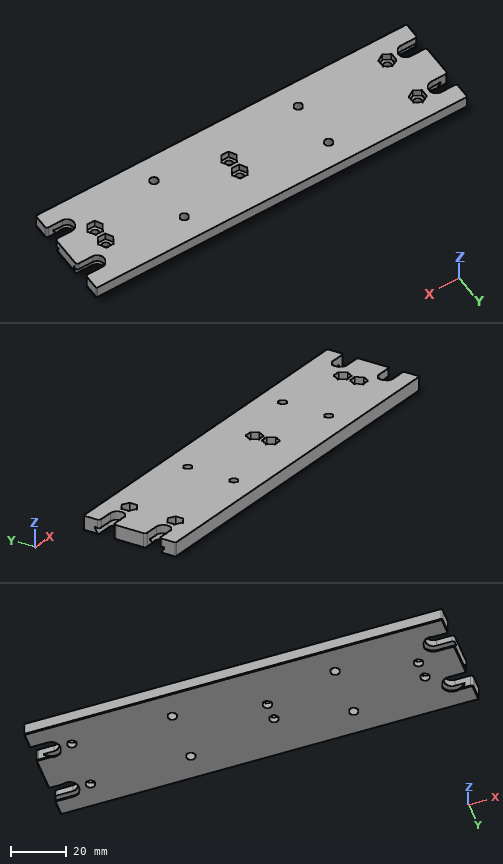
import cadquery as cq
import math

length = 160.8
width = 40.0
thickness = 6.0
corner_radius = 0.5
bottom_chamfer = 0.3

slot_width = 6.0
slot_depth = 10.0
slot_offset = 10.0
mouth_radius = 1.0
slot_radius = slot_width / 2
slot_end_x = length / 2 - slot_depth + slot_radius

undercut_radius = 5.0
undercut_bottom_radius = 3.5
undercut_rim_z = 2.3
undercut_top_z = 2.5

hole_diameter = 3.4
plain_hole_xs = (-26.9, 35.7)
wide_hole_y = slot_offset

nut_across_flats = 5.6
recess_depth = 3.2
end_recess_inset = 15.0
end_recess_x = length / 2 - end_recess_inset
middle_recess_x = 7.4
narrow_hole_y = 3.5


def make_plate():
    """Slotted plate with rounded upright corners and a chamfered bottom outline."""
    plate = (
        cq.Workplane("XY")
        .box(length, width, thickness, centered=(True, True, False))
        .edges("|Z")
        .fillet(corner_radius)
    )
    mouth_slots = (
        cq.Workplane("XY")
        .pushPoints([(sx * length / 2, sy * slot_offset) for sx in (-1, 1) for sy in (-1, 1)])
        .slot2D(2 * slot_depth, slot_width)
        .extrude(thickness)
    )
    plate = plate.cut(mouth_slots)
    mouth_reach = slot_offset + slot_width
    slot_mouths = cq.selectors.BoxSelector((-length, -mouth_reach, 0), (length, mouth_reach, thickness))
    plate = plate.faces("<X or >X").edges("|Z").edges(slot_mouths).fillet(mouth_radius)
    return plate.faces("<Z").edges().chamfer(bottom_chamfer)


def make_undercut(side_x, side_y):
    """Tapered round undercut at the slot end, running out to the plate end along one slot wall.

    The run-out follows the outer wall at the -X end and the inner wall at the +X end.
    """
    profile = [
        (0, 0),
        (undercut_bottom_radius, 0),
        (undercut_radius, undercut_rim_z),
        (undercut_radius, undercut_top_z),
        (0, undercut_top_z),
    ]
    round_end = cq.Workplane("XZ").polyline(profile).close().revolve(360, (0, 0, 0), (0, 1, 0))
    run_out_side = -side_x * side_y
    run_out = (
        cq.Workplane("YZ")
        .polyline([(run_out_side * y, z) for y, z in profile])
        .close()
        .extrude(side_x * slot_depth)
    )
    return round_end.union(run_out).translate((side_x * slot_end_x, side_y * slot_offset, 0))


def make_hole(x, y):
    """Round hole through the plate."""
    return cq.Workplane("XY").center(x, y).circle(hole_diameter / 2).extrude(thickness)


def make_recess(x, y, turn):
    """Hexagonal nut recess in the top face."""
    nut_across_corners = nut_across_flats / math.cos(math.pi / 6)
    nut = cq.Workplane("XY").polygon(6, nut_across_corners).extrude(recess_depth)
    return nut.rotate((0, 0, 0), (0, 0, 1), turn).translate((x, y, thickness - recess_depth))


recesses = (
    (-end_recess_x, wide_hole_y, 90),
    (middle_recess_x, narrow_hole_y, 0),
    (end_recess_x, narrow_hole_y, 0),
)

result = make_plate()
for side_y in (-1, 1):
    for side_x in (-1, 1):
        result = result.cut(make_undercut(side_x, side_y))

    for x in plain_hole_xs:
        result = result.cut(make_hole(x, side_y * wide_hole_y))

    for x, y, turn in recesses:
        result = result.cut(make_hole(x, side_y * y))
        result = result.cut(make_recess(x, side_y * y, turn))